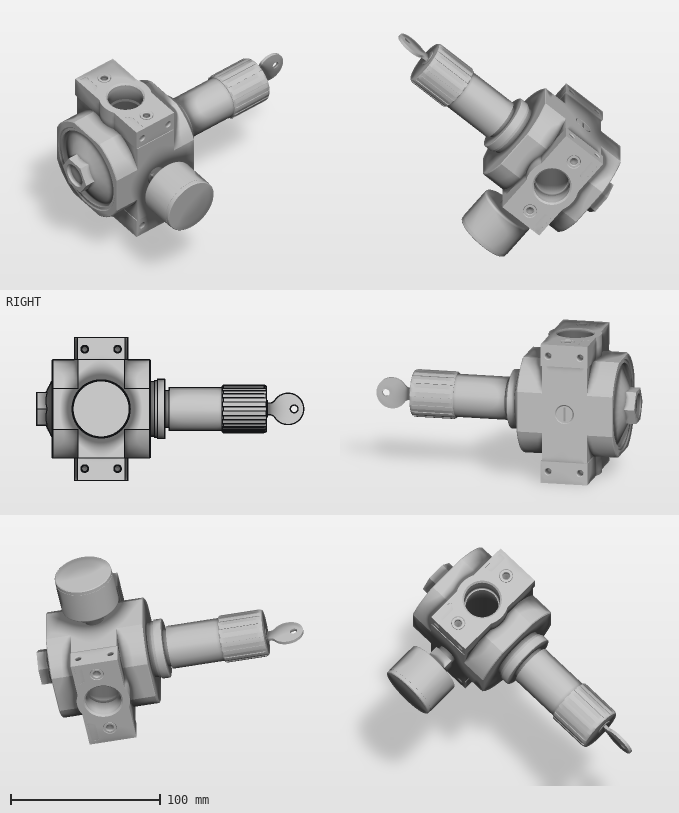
import cadquery as cq
import math


HOUSING_SIDE = 66.0
HOUSING_HALF = HOUSING_SIDE / 2
HOUSING_ROUND_RADIUS = 35.75
HOUSING_END_CHAMFER = 0.6
MOUNTING_BLOCK_WIDTH = 31.0
FLOW_BORE_DIAMETER = 22.0

COLLAR_RADIUS = 18.4
COLLAR_TOP = 35.8
LIP_RADIUS = 19.2
LIP_TOP = 37.6
RING_RADIUS = 20.0
RING_TOP = 42.9
RING_CHAMFER = 0.4
NECK_RADIUS = 12.5
NECK_TOP = 45.5
BARREL_RADIUS = 14.5
KNOB_BOTTOM = 80.9
KNOB_TOP = 110.8
KNOB_RADIUS = 16.0
KNOB_CHAMFER = 1.0
KNOB_TOP_ROUND_HEIGHT = 2.3
KNOB_RIBS = 16
KNOB_GROOVE_DEPTH = 0.7
KNOB_GROOVE_WIDTH = 3.2
LOCK_DIAMETER = 11.0
LOCK_HEIGHT = 0.5
LOCK_X = -3.4

RECESS_MOUTH_RADIUS = 31.0
RECESS_RADIUS = 30.3
RECESS_SHELF_DEPTH = 0.8
WELL_RADIUS = 28.4
CONE_BASE_RADIUS = 27.0
CONE_SLOPE = 0.5
CONE_BASE_DEPTH = 4.0
HEX_ACROSS_FLATS = 22.0
HEX_ACROSS_CORNERS = HEX_ACROSS_FLATS / math.cos(math.pi / 6)
HEX_END_Y = -43.2
HEX_HOLE_MOUTH_DIAMETER = 17.0
HEX_HOLE_FLOOR_DIAMETER = 15.0
HEX_HOLE_STRAIGHT_DEPTH = 1.6
HEX_HOLE_DEPTH = 2.6

PLATE_LEFT = -34.2
PLATE_RIGHT = 32.6
PLATE_WIDTH = 32.0
PLATE_THICKNESS = 15.0
PLATE_BOSS_RADIUS = 17.9
PLATE_TOP = HOUSING_HALF + PLATE_THICKNESS
PORT_DIAMETER = 24.12
PORT_MOUTH_DIAMETER = 26.4
SEAL_RECESS_DIAMETER = 30.0
SEAL_RECESS_DEPTH = 1.2
SIDE_HOLE_DIAMETER = 4.13
SIDE_HOLE_MOUTH_DIAMETER = 5.1
SIDE_HOLE_DEPTH = 8.0
SIDE_HOLE_Y = 11.0
SIDE_HOLE_Z = 40.0
LABEL_OUTER_X = 31.4
LABEL_TOP_INNER_X = 18.4
LABEL_BOTTOM_INNER_X = 15.9
LABEL_TOP_Y = -9.0
LABEL_BOTTOM_Y = -14.0
LABEL_CORNER_RADIUS = 0.8
LABEL_DEPTH = 0.2

SCREW_X = 23.0
SCREW_HEAD_DIAMETER = 8.5
SCREW_HEAD_HEIGHT = 5.0
SCREW_SHANK_DIAMETER = 5.0
SCREW_END_Z = HOUSING_HALF - 8.0
SOCKET_MOUTH_DIAMETER = 5.8
SOCKET_DIAMETER = 5.0
SOCKET_DEPTH = 2.5
SCREW_POCKET_DIAMETER = 8.7
SCREW_POCKET_MOUTH_DIAMETER = 9.6

PORT_THREAD_DIAMETER = 13.16
SIDE_PORT_DEPTH = 8.0
PLUG_DIAMETER = 11.45
PLUG_SLOT_LENGTH = 9.6
PLUG_SLOT_WIDTH = 1.4
PLUG_SLOT_DEPTH = 1.0
GAUGE_SQUARE = 14.0
GAUGE_SQUARE_START = 36.4
GAUGE_SQUARE_END = 43.5
GAUGE_CASE_START = 45.7
GAUGE_CASE_RADIUS = 19.5
GAUGE_CASE_ROUND = 1.4
GAUGE_BEZEL_START = 69.0
GAUGE_BEZEL_RADIUS = 19.3
GAUGE_BEZEL_CHAMFER = 0.5
GAUGE_END = 71.9

KEY_TOP = 135.8
KEY_HEAD_RADIUS = 10.6
KEY_HEAD_Y = KEY_TOP - KEY_HEAD_RADIUS
KEY_HOLE_DIAMETER = 5.0
KEY_HOLE_Y = 129.3
KEY_NECK_WIDTH = 8.0
KEY_NECK_ROUND = 4.0
KEY_THICKNESS = 2.1

DRILL_HALF_ANGLE = math.radians(59)


def revolve_y(points):
    """Solid of revolution about Y from a closed outline of (radius, y) points."""
    return cq.Workplane("XY").polyline(points).close().revolve(360, (0, 0, 0), (0, 1, 0))


def countersunk_drill(diameter, mouth_diameter, depth):
    """Drill tool that enters at the origin and runs down -Z, with a chamfered mouth and a conical end."""
    radius = diameter / 2
    mouth = mouth_diameter / 2
    point = depth + radius / math.tan(DRILL_HALF_ANGLE)
    outline = [(0, 0), (mouth, 0), (radius, radius - mouth), (radius, -depth), (0, -point)]
    return cq.Workplane("XZ").polyline(outline).close().revolve(360, (0, 0, 0), (0, 1, 0))


def stepped_hole(diameter, mouth_diameter, depth, lower_diameter):
    """Tool for a hole through a plate from the origin down -Z: chamfered mouth, then a lower bore."""
    radius = diameter / 2
    mouth = mouth_diameter / 2
    lower = lower_diameter / 2
    outline = [
        (0, 0), (mouth, 0), (radius, radius - mouth), (radius, -depth),
        (lower, -depth), (lower, -PLATE_THICKNESS), (0, -PLATE_THICKNESS),
    ]
    return cq.Workplane("XZ").polyline(outline).close().revolve(360, (0, 0, 0), (0, 1, 0))


def make_housing_block():
    """Flat-sided round housing crossed by the square block that carries the plates."""
    square = cq.Workplane("XY").box(HOUSING_SIDE, HOUSING_SIDE, HOUSING_SIDE)
    rim = HOUSING_ROUND_RADIUS - HOUSING_END_CHAMFER
    shoulder = HOUSING_HALF - HOUSING_END_CHAMFER
    round_part = revolve_y([
        (0, -HOUSING_HALF), (rim, -HOUSING_HALF), (HOUSING_ROUND_RADIUS, -shoulder),
        (HOUSING_ROUND_RADIUS, shoulder), (rim, HOUSING_HALF), (0, HOUSING_HALF),
    ])
    housing = square.faces("<Y or >Y").chamfer(HOUSING_END_CHAMFER).intersect(round_part)
    block = cq.Workplane("XY").box(HOUSING_SIDE, MOUNTING_BLOCK_WIDTH, HOUSING_SIDE)
    return housing.union(block)


def make_bottom_recess():
    """Shallow round recess in the lower face with a well in it, rounded where it meets the cap cone."""
    face = -HOUSING_HALF
    bevel = RECESS_MOUTH_RADIUS - RECESS_RADIUS
    shelf = face + RECESS_SHELF_DEPTH
    base = face + CONE_BASE_DEPTH
    round_width = WELL_RADIUS - CONE_BASE_RADIUS
    wall_end = base + round_width * CONE_SLOPE - round_width * math.hypot(1, CONE_SLOPE)
    return (
        cq.Workplane("XY")
        .moveTo(0, face)
        .lineTo(RECESS_MOUTH_RADIUS, face)
        .lineTo(RECESS_RADIUS, face + bevel)
        .lineTo(RECESS_RADIUS, shelf)
        .lineTo(WELL_RADIUS, shelf)
        .lineTo(WELL_RADIUS, wall_end)
        .tangentArcPoint((CONE_BASE_RADIUS, base), relative=False)
        .lineTo(0, base)
        .close()
        .revolve(360, (0, 0, 0), (0, 1, 0))
    )


def make_cap():
    """Conical cap with a hexagonal end and a shallow round hole in it."""
    base = -HOUSING_HALF + CONE_BASE_DEPTH
    tip_radius = HEX_ACROSS_FLATS / 2
    tip_y = base - (CONE_BASE_RADIUS - tip_radius) * CONE_SLOPE
    cone = revolve_y([(0, base), (CONE_BASE_RADIUS, base), (tip_radius, tip_y), (0, tip_y)])
    hexagon = (
        cq.Workplane("XZ", origin=(0, base, 0))
        .polygon(6, HEX_ACROSS_CORNERS)
        .extrude(base - HEX_END_Y)
    )
    floor = HEX_END_Y + HEX_HOLE_DEPTH
    hole = revolve_y([
        (0, HEX_END_Y), (HEX_HOLE_MOUTH_DIAMETER / 2, HEX_END_Y),
        (HEX_HOLE_MOUTH_DIAMETER / 2, HEX_END_Y + HEX_HOLE_STRAIGHT_DEPTH),
        (HEX_HOLE_FLOOR_DIAMETER / 2, floor), (0, floor),
    ])
    return cone.union(hexagon).cut(hole)


def make_barrel():
    """Collar, ring, neck and barrel below the knob."""
    return revolve_y([
        (0, HOUSING_HALF), (COLLAR_RADIUS, HOUSING_HALF), (COLLAR_RADIUS, COLLAR_TOP),
        (LIP_RADIUS, COLLAR_TOP), (LIP_RADIUS, LIP_TOP),
        (RING_RADIUS, LIP_TOP), (RING_RADIUS, RING_TOP - RING_CHAMFER),
        (RING_RADIUS - RING_CHAMFER, RING_TOP), (NECK_RADIUS, RING_TOP), (NECK_RADIUS, NECK_TOP),
        (BARREL_RADIUS, NECK_TOP), (BARREL_RADIUS, KNOB_BOTTOM), (0, KNOB_BOTTOM),
    ])


def make_knob():
    """Ribbed knob with the off-centre lock face on top."""
    rim = KNOB_RADIUS - KNOB_CHAMFER
    round_start = KNOB_TOP - KNOB_TOP_ROUND_HEIGHT
    knob = (
        cq.Workplane("XY")
        .moveTo(0, KNOB_BOTTOM)
        .lineTo(rim, KNOB_BOTTOM)
        .lineTo(KNOB_RADIUS, KNOB_BOTTOM + KNOB_CHAMFER)
        .lineTo(KNOB_RADIUS, round_start)
        .tangentArcPoint((rim, KNOB_TOP), relative=False)
        .lineTo(0, KNOB_TOP)
        .close()
        .revolve(360, (0, 0, 0), (0, 1, 0))
    )
    pitch = 360 / KNOB_RIBS
    length = KNOB_TOP - KNOB_BOTTOM
    groove = cq.Workplane("XY").box(2 * KNOB_GROOVE_DEPTH, length, KNOB_GROOVE_WIDTH)
    groove = groove.translate((KNOB_RADIUS, (KNOB_TOP + KNOB_BOTTOM) / 2, 0))
    for index in range(KNOB_RIBS):
        knob = knob.cut(groove.rotate((0, 0, 0), (0, 1, 0), (index + 0.5) * pitch))
    lock = cq.Workplane("XZ", origin=(LOCK_X, KNOB_TOP, 0)).circle(LOCK_DIAMETER / 2).extrude(-LOCK_HEIGHT)
    return knob.union(lock)


def make_regulator():
    """One solid: housing, cap, barrel and knob, with the flow bore and the side ports."""
    regulator = make_housing_block().cut(make_bottom_recess()).union(make_cap())
    regulator = regulator.union(make_barrel()).union(make_knob())
    flow_bore = (
        cq.Workplane("XY", origin=(0, 0, -HOUSING_HALF))
        .circle(FLOW_BORE_DIAMETER / 2)
        .extrude(HOUSING_SIDE)
    )
    gauge_port = (
        cq.Workplane("YZ", origin=(HOUSING_HALF - SIDE_PORT_DEPTH, 0, 0))
        .circle(PORT_THREAD_DIAMETER / 2)
        .extrude(SIDE_PORT_DEPTH)
    )
    plug_port = (
        cq.Workplane("YZ", origin=(-HOUSING_HALF, 0, 0))
        .circle(PLUG_DIAMETER / 2)
        .extrude(SIDE_PORT_DEPTH)
    )
    mouth_depth = (PORT_THREAD_DIAMETER - PLUG_DIAMETER) / 2
    plug_port_mouth = (
        cq.Workplane("YZ", origin=(-HOUSING_HALF, 0, 0))
        .circle(PORT_THREAD_DIAMETER / 2)
        .workplane(offset=mouth_depth)
        .circle(PLUG_DIAMETER / 2)
        .loft(ruled=True)
    )
    regulator = regulator.cut(flow_bore).cut(gauge_port).cut(plug_port).cut(plug_port_mouth)
    for screw_end in (SCREW_END_Z, -HOUSING_HALF):
        shank_holes = (
            cq.Workplane("XY", origin=(0, 0, screw_end))
            .pushPoints([(-SCREW_X, 0), (SCREW_X, 0)])
            .circle(SCREW_SHANK_DIAMETER / 2)
            .extrude(HOUSING_HALF - SCREW_END_Z)
        )
        regulator = regulator.cut(shank_holes)
    return regulator


def make_label_recess():
    """Shallow recess with one slanted end, on the left of the plate's outer face."""
    return (
        cq.Workplane("XY", origin=(0, 0, PLATE_TOP - LABEL_DEPTH))
        .polyline([
            (-LABEL_OUTER_X, LABEL_TOP_Y), (-LABEL_TOP_INNER_X, LABEL_TOP_Y),
            (-LABEL_BOTTOM_INNER_X, LABEL_BOTTOM_Y), (-LABEL_OUTER_X, LABEL_BOTTOM_Y),
        ])
        .close()
        .extrude(LABEL_DEPTH)
        .edges("|Z")
        .fillet(LABEL_CORNER_RADIUS)
    )


def make_plate():
    """Upper port plate with its port, seal recess, screw pockets, side holes and label recesses."""
    length = PLATE_RIGHT - PLATE_LEFT
    plate = (
        cq.Workplane("XY")
        .box(length, PLATE_WIDTH, PLATE_THICKNESS, centered=(False, True, False))
        .translate((PLATE_LEFT, 0, HOUSING_HALF))
    )
    base = cq.Workplane("XY", origin=(0, 0, HOUSING_HALF))
    plate = plate.union(base.circle(PLATE_BOSS_RADIUS).extrude(PLATE_THICKNESS))
    port_depth = PLATE_THICKNESS - SEAL_RECESS_DEPTH
    port = stepped_hole(PORT_DIAMETER, PORT_MOUTH_DIAMETER, port_depth, SEAL_RECESS_DIAMETER)
    plate = plate.cut(port.translate((0, 0, PLATE_TOP)))
    screw_pocket = stepped_hole(
        SCREW_POCKET_DIAMETER, SCREW_POCKET_MOUTH_DIAMETER, SCREW_HEAD_HEIGHT, SCREW_SHANK_DIAMETER
    )
    for x in (-SCREW_X, SCREW_X):
        plate = plate.cut(screw_pocket.translate((x, 0, PLATE_TOP)))
    label = make_label_recess()
    plate = plate.cut(label).cut(label.mirror("YZ"))

    side_drill = countersunk_drill(SIDE_HOLE_DIAMETER, SIDE_HOLE_MOUTH_DIAMETER, SIDE_HOLE_DEPTH)
    for y in (-SIDE_HOLE_Y, SIDE_HOLE_Y):
        for x, turn in ((PLATE_LEFT, -90), (PLATE_RIGHT, 90)):
            drill = side_drill.rotate((0, 0, 0), (0, 1, 0), turn)
            plate = plate.cut(drill.translate((x, y, SIDE_HOLE_Z)))
    return plate


def make_screw(x):
    """Upper plate screw, head flush with the plate, with a round socket."""
    screw = (
        cq.Workplane("XY", origin=(x, 0, SCREW_END_Z))
        .circle(SCREW_SHANK_DIAMETER / 2)
        .extrude(PLATE_TOP - SCREW_END_Z)
    )
    head = (
        cq.Workplane("XY", origin=(x, 0, PLATE_TOP - SCREW_HEAD_HEIGHT))
        .circle(SCREW_HEAD_DIAMETER / 2)
        .extrude(SCREW_HEAD_HEIGHT)
    )
    socket = countersunk_drill(SOCKET_DIAMETER, SOCKET_MOUTH_DIAMETER, SOCKET_DEPTH)
    return screw.union(head).cut(socket.translate((x, 0, PLATE_TOP)))


def make_plug():
    """Blanking plug flush with the left side of the housing."""
    plug = (
        cq.Workplane("YZ", origin=(-HOUSING_HALF, 0, 0))
        .circle(PLUG_DIAMETER / 2)
        .extrude(SIDE_PORT_DEPTH)
    )
    slot = (
        cq.Workplane("YZ", origin=(-HOUSING_HALF, 0, 0))
        .rect(PLUG_SLOT_WIDTH, PLUG_SLOT_LENGTH)
        .extrude(PLUG_SLOT_DEPTH)
    )
    return plug.cut(slot)


def make_gauge():
    """Pressure gauge: threaded stem, square for the wrench, round shoulder and case."""
    stem_start = HOUSING_HALF - SIDE_PORT_DEPTH
    stem = (
        cq.Workplane("YZ", origin=(stem_start, 0, 0))
        .circle(PORT_THREAD_DIAMETER / 2)
        .extrude(GAUGE_SQUARE_START - stem_start)
    )
    square = (
        cq.Workplane("YZ", origin=(GAUGE_SQUARE_START, 0, 0))
        .rect(GAUGE_SQUARE, GAUGE_SQUARE)
        .extrude(GAUGE_SQUARE_END - GAUGE_SQUARE_START)
    )
    shoulder = (
        cq.Workplane("YZ", origin=(GAUGE_SQUARE_END, 0, 0))
        .circle(GAUGE_SQUARE / 2)
        .extrude(GAUGE_CASE_START - GAUGE_SQUARE_END)
    )
    case = (
        cq.Workplane("YZ", origin=(GAUGE_CASE_START, 0, 0))
        .circle(GAUGE_CASE_RADIUS)
        .extrude(GAUGE_BEZEL_START - GAUGE_CASE_START)
        .faces("<X")
        .edges()
        .fillet(GAUGE_CASE_ROUND)
    )
    bezel = (
        cq.Workplane("YZ", origin=(GAUGE_BEZEL_START, 0, 0))
        .circle(GAUGE_BEZEL_RADIUS)
        .extrude(GAUGE_END - GAUGE_BEZEL_START)
        .faces(">X")
        .edges()
        .chamfer(GAUGE_BEZEL_CHAMFER)
    )
    return stem.union(square).union(shoulder).union(case).union(bezel)


def make_key():
    """Flat key standing on the lock face; its round head runs into the neck through hollow rounds."""
    key_base = KNOB_TOP + LOCK_HEIGHT
    plane = cq.Workplane("YZ", origin=(LOCK_X - KEY_THICKNESS / 2, 0, 0))
    neck = (
        plane.center((key_base + KEY_HEAD_Y) / 2, 0)
        .rect(KEY_HEAD_Y - key_base, KEY_NECK_WIDTH)
        .extrude(KEY_THICKNESS)
    )
    head = plane.center(KEY_HEAD_Y, 0).circle(KEY_HEAD_RADIUS).extrude(KEY_THICKNESS)
    hole = plane.center(KEY_HOLE_Y, 0).circle(KEY_HOLE_DIAMETER / 2).extrude(KEY_THICKNESS)
    neck_corner_y = KEY_HEAD_Y - math.sqrt(KEY_HEAD_RADIUS**2 - (KEY_NECK_WIDTH / 2) ** 2)
    corners = cq.selectors.BoxSelector(
        (LOCK_X - KEY_THICKNESS, neck_corner_y - KEY_NECK_ROUND, -KEY_NECK_WIDTH),
        (LOCK_X + KEY_THICKNESS, neck_corner_y + KEY_NECK_ROUND, KEY_NECK_WIDTH),
    )
    return head.union(neck).edges("|X").edges(corners).fillet(KEY_NECK_ROUND).cut(hole)


regulator = make_regulator()
upper_plate = make_plate()
lower_plate = upper_plate.mirror("XY")
upper_screws = [make_screw(x) for x in (-SCREW_X, SCREW_X)]
lower_screws = [screw.mirror("XY") for screw in upper_screws]
screws = upper_screws + lower_screws
plug = make_plug()
gauge = make_gauge()
key = make_key()

result = cq.Compound.makeCompound([
    regulator.val(),
    upper_plate.val(),
    lower_plate.val(),
    *[screw.val() for screw in screws],
    plug.val(),
    gauge.val(),
    key.val(),
])